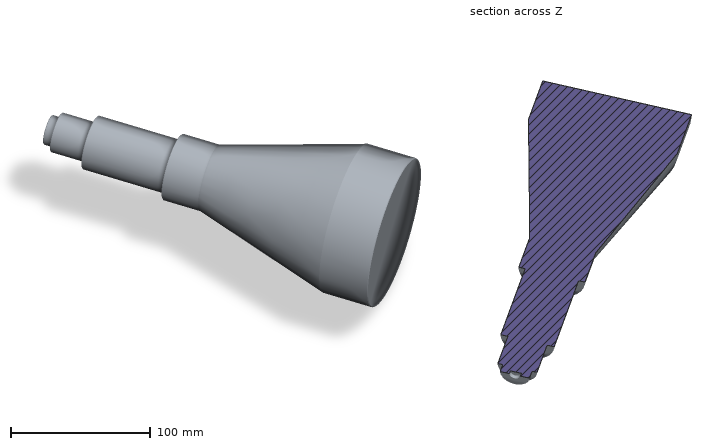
import cadquery as cq

total_length = 265.0
bell_diameter = 112.0
collar_diameter = 49.8
shaft_diameter = 40.3
neck_diameter = 29.7
tip_diameter = 22.3
bore_diameter = 8.0

neck_start = 6.5
shaft_start = 32.5
collar_start = 95.7
cone_start = 124.0
bell_start = 228.0

edge_chamfer = 0.5
bore_depth = 2.7

tip_x = -total_length / 2


def cylinder(start, end, diameter):
    """Cylinder along X between two distances from the tip face."""
    return (
        cq.Workplane("YZ", origin=(tip_x + start, 0, 0))
        .circle(diameter / 2)
        .extrude(end - start)
    )


def chamfered_step(start, end, diameter):
    """Cylinder with its tip-side edge broken."""
    return cylinder(start, end, diameter).faces("<X").chamfer(edge_chamfer)


def cone(start, end, start_diameter, end_diameter):
    """Truncated cone along X."""
    return (
        cq.Workplane("YZ", origin=(tip_x + start, 0, 0))
        .circle(start_diameter / 2)
        .workplane(offset=end - start)
        .circle(end_diameter / 2)
        .loft(ruled=True)
    )


tip = chamfered_step(0, neck_start, tip_diameter)
neck = chamfered_step(neck_start, shaft_start, neck_diameter)
shaft = chamfered_step(shaft_start, collar_start, shaft_diameter)
collar = chamfered_step(collar_start, cone_start, collar_diameter)

flare = cone(cone_start, bell_start, collar_diameter, bell_diameter)
bell = cylinder(bell_start, total_length, bell_diameter).faces(">X").chamfer(edge_chamfer)

result = tip
for section in (neck, shaft, collar, flare, bell):
    result = result.union(section)

result = result.cut(cylinder(0, bore_depth, bore_diameter))